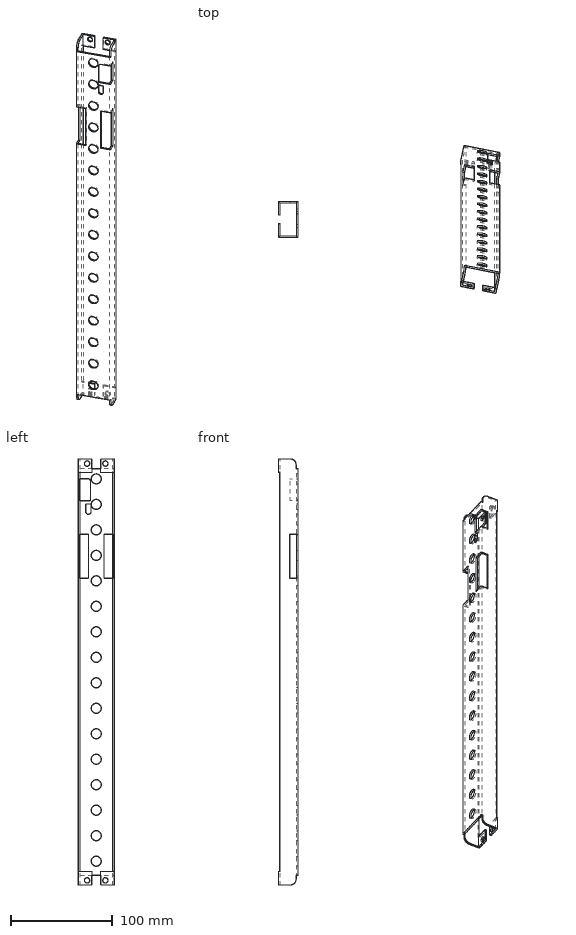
import cadquery as cq

depth = 19.2
width = 35.5
length = 418.2
sheet = 1.75
bend_radius = 1.05

corner_radius = 6.0
web_setback = 9.5
flange_setback = 1.3
tab_corner_radius = 1.3
tab_length = 13.5
tab_gap = 8.5
tab_hole_diameter = 5.0
tab_hole_inset = 8.8
tab_hole_end_distance = 4.5

hole_count = 16
hole_diameter = 9.5
top_hole_distance = 19.5
bottom_hole_distance = 23.5
hole_pitch = (length - top_hole_distance - bottom_hole_distance) / (hole_count - 1)

window_depth = 8.0
side_window_width = 10.0
side_window_top = 344.2
side_window_height = 43.0
upper_window_width = 12.0
upper_window_top = 398.5
upper_window_height = 21.5
upper_window_radius = 2.5

slot_width = 5.0
slot_height = 10.0
slot_top = 374.0
slot_inset = 7.5


def block(x_range, y_range, z_range):
    """Box spanning the given (low, high) ranges."""
    size = [high - low for low, high in (x_range, y_range, z_range)]
    corner = (x_range[0], y_range[0], z_range[0])
    return cq.Workplane("XY").box(*size, centered=False).translate(corner)


def folded_tube():
    """Rectangular tube with rounded bends, rounded flange corners and a shortened web."""
    across = (-width / 2, width / 2)
    outer = block((0, depth), across, (0, length)).edges("|Z").fillet(bend_radius)
    cavity = block((sheet, depth - sheet), (sheet - width / 2, width / 2 - sheet), (0, length))
    flange_limit = block((0, depth - sheet), across, (0, length)).edges("|Y and >X").fillet(corner_radius)
    web_limit = block((depth - sheet, depth), across, (web_setback, length - web_setback))
    return outer.cut(cavity).intersect(flange_limit.union(web_limit))


def tab_corner(side, z, direction):
    """Waste piece that rounds the free corner of one tab."""
    y = side * tab_gap / 2
    along_end = (y + side * tab_corner_radius, z)
    along_gap = (y, z + direction * tab_corner_radius)
    return (
        cq.Workplane("YZ")
        .moveTo(y, z)
        .lineTo(*along_end)
        .radiusArc(along_gap, side * direction * tab_corner_radius)
        .close()
        .extrude(sheet)
    )


def open_front(body):
    """Open the front so that only the four end tabs remain, and set the flange edges back."""
    inner_half = width / 2 - sheet
    between_tabs = (tab_length, length - tab_length)
    body = body.cut(block((0, sheet), (-tab_gap / 2, tab_gap / 2), (0, length)))
    body = body.cut(block((0, flange_setback), (-width / 2, width / 2), between_tabs))
    body = body.cut(block((0, sheet), (-inner_half, inner_half), between_tabs))
    for side in (-1, 1):
        body = body.cut(tab_corner(side, 0, 1))
        body = body.cut(tab_corner(side, length, -1))
    return body


def cut_holes(body):
    """Drill the web row and the four tab holes."""
    web_points = [(0, length - top_hole_distance - i * hole_pitch) for i in range(hole_count)]
    web_holes = (
        cq.Workplane("YZ", origin=(depth - sheet, 0, 0))
        .pushPoints(web_points)
        .circle(hole_diameter / 2)
        .extrude(sheet)
    )
    tab_y = width / 2 - tab_hole_inset
    tab_holes = (
        cq.Workplane("YZ")
        .pushPoints([
            (y, z)
            for y in (-tab_y, tab_y)
            for z in (tab_hole_end_distance, length - tab_hole_end_distance)
        ])
        .circle(tab_hole_diameter / 2)
        .extrude(sheet)
    )
    return body.cut(web_holes).cut(tab_holes)


def cut_windows(body):
    """Cut the two side windows, the upper window and the small slot."""
    window_x = (depth - window_depth, depth)
    side_z = (side_window_top - side_window_height, side_window_top)
    half = width / 2
    body = body.cut(block(window_x, (half - side_window_width, half), side_z))
    body = body.cut(block(window_x, (-half, side_window_width - half), side_z))

    upper_z = (upper_window_top - upper_window_height, upper_window_top)
    upper = block(window_x, (half - upper_window_width, half), upper_z)
    body = body.cut(upper.edges("|X and <Y and >Z").fillet(upper_window_radius))

    slot_high_y = half - slot_inset
    slot_low_y = slot_high_y - slot_width
    slot_bottom = slot_top - slot_height
    arc_start_z = slot_bottom + slot_width / 2
    slot = (
        cq.Workplane("YZ", origin=(depth - sheet, 0, 0))
        .moveTo(slot_low_y, slot_top)
        .lineTo(slot_low_y, arc_start_z)
        .threePointArc(((slot_low_y + slot_high_y) / 2, slot_bottom), (slot_high_y, arc_start_z))
        .lineTo(slot_high_y, slot_top)
        .close()
        .extrude(sheet)
    )
    return body.cut(slot)


result = cut_windows(cut_holes(open_front(folded_tube())))